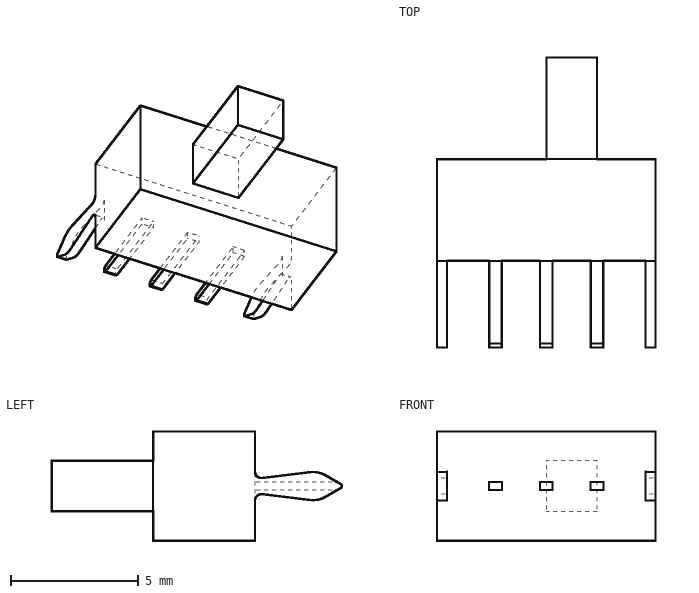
import cadquery as cq
import math

overall_length = 11.41
body_width = 8.6
body_depth = 4.0
body_height = 4.3
lever_size = 2.0
lever_length = 3.99

terminal_length = overall_length - body_depth - lever_length
tip_radius = 0.1
tip_angle = math.radians(30)

pin_pitch = 2.0
pin_width = 0.5
pin_height = 0.31

tab_thickness = 0.4
tab_half_height = 0.56
bulge_radius = 1.0
taper_angle = math.radians(7)
root_radius = 0.25


def on_circle(center, radius, angle):
    """Point on a circle, with the angle measured from the upward direction toward the tip."""
    return (center[0] + radius * math.sin(angle), center[1] + radius * math.cos(angle))


def mirrored(point):
    return (point[0], -point[1])


tip_center = (terminal_length - tip_radius, 0)
tip_top = on_circle(tip_center, tip_radius, tip_angle)
tip_end = (terminal_length, 0)


def extrude_terminal(profile, width, x_center):
    """Extrude a closed profile along X, centred on x_center."""
    return profile.close().extrude(width / 2, both=True).translate((x_center, 0, 0))


def terminal_plane():
    return cq.Workplane(cq.Plane(origin=(0, 0, 0), xDir=(0, -1, 0), normal=(-1, 0, 0)))


def make_pin(x_center):
    half_height = pin_height / 2
    bevel_start = tip_top[0] - (half_height - tip_top[1]) / math.tan(tip_angle)
    profile = (
        terminal_plane()
        .moveTo(0, half_height)
        .lineTo(bevel_start, half_height)
        .lineTo(*tip_top)
        .threePointArc(tip_end, mirrored(tip_top))
        .lineTo(bevel_start, -half_height)
        .lineTo(0, -half_height)
    )
    return extrude_terminal(profile, pin_width, x_center)


def make_tab(x_center):
    bulge_z = tab_half_height - bulge_radius
    bulge_offset = (tip_radius - bulge_radius - bulge_z * math.cos(tip_angle)) / math.sin(tip_angle)
    bulge_center = (tip_center[0] + bulge_offset, bulge_z)
    bulge_start = on_circle(bulge_center, bulge_radius, -taper_angle)
    bulge_top = on_circle(bulge_center, bulge_radius, 0)
    bulge_end = on_circle(bulge_center, bulge_radius, tip_angle)

    neck_z = bulge_start[1] - (bulge_start[0] - root_radius) * math.tan(taper_angle)
    root_center = (root_radius, neck_z + root_radius / math.cos(taper_angle))
    root_start = (0, root_center[1])
    root_end = on_circle(root_center, root_radius, math.pi - taper_angle)
    root_middle_angle = (1.5 * math.pi + math.pi - taper_angle) / 2
    root_middle = on_circle(root_center, root_radius, root_middle_angle)

    profile = (
        terminal_plane()
        .moveTo(*root_start)
        .threePointArc(root_middle, root_end)
        .lineTo(*bulge_start)
        .threePointArc(bulge_top, bulge_end)
        .lineTo(*tip_top)
        .threePointArc(tip_end, mirrored(tip_top))
        .lineTo(*mirrored(bulge_end))
        .threePointArc(mirrored(bulge_top), mirrored(bulge_start))
        .lineTo(*mirrored(root_end))
        .threePointArc(mirrored(root_middle), mirrored(root_start))
    )
    return extrude_terminal(profile, tab_thickness, x_center)


housing = cq.Workplane("XY").box(body_width, body_depth, body_height).translate((0, body_depth / 2, 0))

lever_y = body_depth + lever_length / 2
lever = cq.Workplane("XY").box(lever_size, lever_length, lever_size).translate((lever_size / 2, lever_y, 0))

result = housing.union(lever)
for position in (-1, 0, 1):
    result = result.union(make_pin(position * pin_pitch))
for side in (-1, 1):
    result = result.union(make_tab(side * (body_width - tab_thickness) / 2))